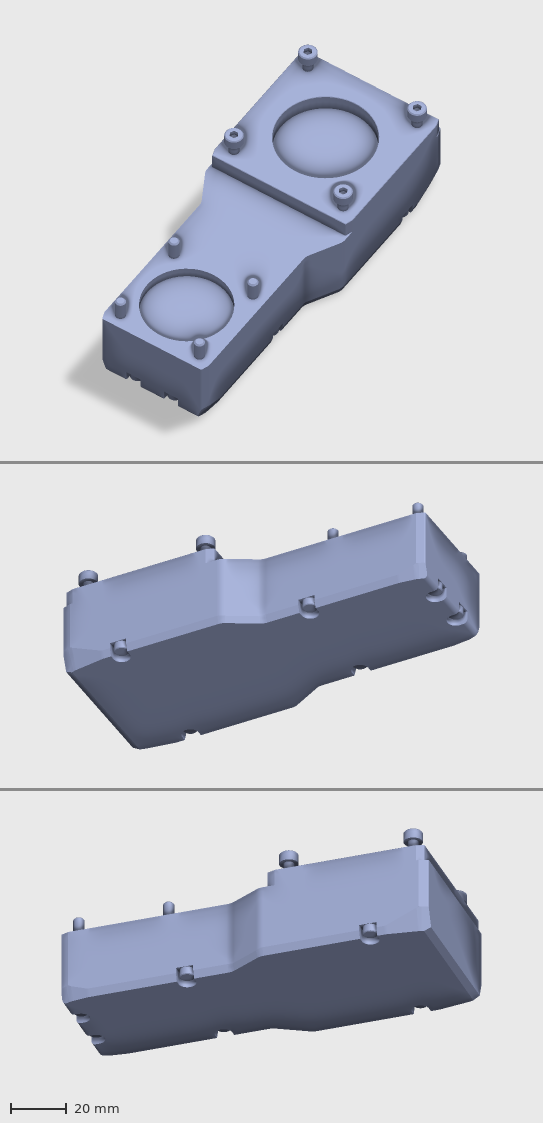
import cadquery as cq
import math

length = 142.0
wide_width = 59.5
wide_half = wide_width / 2
narrow_width = 45.0
narrow_half = narrow_width / 2
taper_front_y = 64.9
taper_back_y = 78.1
waist_radius = 5.0

seam_z = 23.6
body_top_z = 27.7
plate_top_z = 34.1
pin_top_z = 35.5
screw_top_z = 43.0

bevel_inset = 1.1
front_bevel_length = 3.1
back_bevel_length = 3.4
bevel_round = 0.7

draft_rise = 3.0
draft_inset = 1.0
draft_angle = math.degrees(math.atan2(draft_inset, draft_rise))
front_skirt_z = 5.4
front_skirt_start_y = 10.5
back_skirt_z = 8.4
back_skirt_start_y = 125.8
skirt_corner_shift = 0.5
skirt_radius = 7.1
skirt_clearance = 0.7
skirt_height = back_skirt_z + skirt_clearance
skirt_overrun = 2.8
front_edge_radius = 1.7
back_edge_rise = 1.3
back_edge_run = 2.5

plate_half = wide_half
plate_center_y = 110.8
large_recess_diameter = 38.0
screw_offset = 23.6
plate_bevel_inset = 1.0
plate_bevel_length = 3.0
plate_edge_chamfer = 0.2

small_center_y = 22.3
small_recess_diameter = 34.1
pin_offset = small_recess_diameter / 2
pin_diameter = 4.0
pin_chamfer = 0.5

screw_shank_diameter = 4.0
screw_head_diameter = 7.0
screw_head_height = 4.0
screw_head_chamfer = 0.4
socket_width = 3.0
socket_corner_diameter = socket_width / math.cos(math.pi / 6)
socket_depth = 2.0
socket_tip_depth = 0.7

pocket_width = 6.5
pocket_height = 5.1
pocket_center_inset = 3.0
stud_diameter = 5.5
stud_chamfer = 0.3
stud_bottom_z = 2.1
front_pocket_x = 8.1
narrow_pocket_y = 47.3
wide_pocket_y = 119.3


def mirrored_polygon(right_points, z):
    """Closed outline from its right half, listed front to back."""
    left_points = [(-x, y) for x, y in reversed(right_points)]
    return cq.Workplane("XY").workplane(offset=z).polyline(right_points + left_points).close()


def square_pattern(center_y, offset):
    return [(sx * offset, center_y + sy * offset) for sx in (-1, 1) for sy in (-1, 1)]


def cylinder(x, y, z_bottom, z_top, diameter):
    return cq.Workplane("XY", origin=(x, y, z_bottom)).circle(diameter / 2).extrude(z_top - z_bottom)


def round_upright_edges(prism, rounds):
    """Round the vertical edges of a prism; each round is a Y position and a radius."""
    margin = 0.01
    for y, radius in rounds:
        strip = cq.selectors.BoxSelector((-length, y - margin, -length), (length, y + margin, length))
        prism = prism.edges("|Z").edges(strip).fillet(radius)
    return prism


def make_block():
    outline = [
        (narrow_half - bevel_inset, 0),
        (narrow_half, front_bevel_length),
        (narrow_half, taper_front_y),
        (wide_half, taper_back_y),
        (wide_half, length - back_bevel_length),
        (wide_half - bevel_inset, length),
    ]
    block = mirrored_polygon(outline, 0).extrude(body_top_z)
    rounds = [
        (0, bevel_round),
        (taper_front_y, waist_radius),
        (taper_back_y, waist_radius),
        (length, bevel_round),
    ]
    return round_upright_edges(block, rounds)


def make_skirt_envelope():
    """Inward-drafted envelope that bevels the bottom of the sides, more at the corners."""
    slope = draft_inset / draft_rise
    narrow_x = narrow_half - draft_inset
    wide_x = wide_half - draft_inset
    front_corner_x = narrow_half - front_skirt_z * slope
    back_corner_x = wide_half - back_skirt_z * slope
    front_corner_y = front_bevel_length + skirt_corner_shift
    back_corner_y = length - back_bevel_length - skirt_corner_shift
    front_end_y = -skirt_overrun
    back_end_y = length + skirt_overrun
    front_end_x = front_corner_x - (front_corner_y - front_end_y) * bevel_inset / front_bevel_length
    back_end_x = back_corner_x - (back_end_y - back_corner_y) * bevel_inset / back_bevel_length
    outline = [
        (front_end_x, front_end_y),
        (front_corner_x, front_corner_y),
        (narrow_x, front_skirt_start_y),
        (narrow_x, taper_front_y),
        (wide_x, taper_back_y),
        (wide_x, back_skirt_start_y),
        (back_corner_x, back_corner_y),
        (back_end_x, back_end_y),
    ]
    bends = [
        (front_corner_y, skirt_radius),
        (front_skirt_start_y, skirt_radius),
        (taper_front_y, waist_radius),
        (taper_back_y, waist_radius),
        (back_skirt_start_y, skirt_radius),
        (back_corner_y, skirt_radius),
    ]
    footprint = round_upright_edges(mirrored_polygon(outline, 0).extrude(skirt_height), bends)
    drafted = footprint.faces("<Z").wires().toPending()
    drafted = drafted.extrude(skirt_height, taper=-draft_angle, combine=False)
    straight = cq.Workplane("XY", origin=(0, length / 2, skirt_height))
    return drafted.union(straight.box(wide_width, length, body_top_z, centered=(True, True, False)))


def make_end_envelope():
    """Lengthwise profile with the front bottom edge rounded and the back one bevelled."""
    profile = cq.Workplane("XY").box(wide_width, length, body_top_z, centered=(True, False, False))
    profile = profile.faces("<Y").edges("<Z").fillet(front_edge_radius)
    corner = cq.Workplane("YZ", origin=(-wide_half, length, 0))
    corner = corner.lineTo(-back_edge_run, 0).lineTo(0, back_edge_rise).close().extrude(wide_width)
    return profile.cut(corner)


def make_plate():
    front_y = plate_center_y - plate_half
    back_y = plate_center_y + plate_half
    outline = [
        (plate_half - plate_bevel_inset, front_y),
        (plate_half, front_y + plate_bevel_length),
        (plate_half, back_y - plate_bevel_length),
        (plate_half - plate_bevel_inset, back_y),
    ]
    plate = mirrored_polygon(outline, body_top_z).extrude(plate_top_z - body_top_z)
    plate = plate.cut(cylinder(0, plate_center_y, body_top_z, plate_top_z, large_recess_diameter))
    return plate.faces(">Z").chamfer(plate_edge_chamfer)


def make_pin(x, y):
    return cylinder(x, y, seam_z, pin_top_z, pin_diameter).faces(">Z").chamfer(pin_chamfer)


def make_screw(x, y):
    head_bottom_z = screw_top_z - screw_head_height
    socket_floor_z = screw_top_z - socket_depth
    head = cylinder(x, y, head_bottom_z, screw_top_z, screw_head_diameter)
    head = head.faces(">Z").chamfer(screw_head_chamfer)
    socket = (
        cq.Workplane("XY", origin=(x, y, socket_floor_z))
        .polygon(6, socket_corner_diameter)
        .extrude(socket_depth)
    )
    tip = cq.Workplane(
        cq.Solid.makeCone(
            0, socket_width / 2, socket_tip_depth,
            pnt=cq.Vector(x, y, socket_floor_z - socket_tip_depth), dir=cq.Vector(0, 0, 1),
        )
    )
    shank = cylinder(x, y, body_top_z, head_bottom_z, screw_shank_diameter)
    return head.cut(socket).cut(tip).union(shank)


def make_pocket(x, y, outward_angle):
    """Round-ended slot running from the stud axis out through the wall."""
    reach = 2 * pocket_center_inset
    channel = cq.Workplane("XY").box(reach, pocket_width, pocket_height, centered=(False, True, False))
    channel = channel.rotate((0, 0, 0), (0, 0, 1), outward_angle).translate((x, y, 0))
    return channel.union(cylinder(x, y, 0, pocket_height, pocket_width))


def make_stud(x, y):
    stud = cylinder(x, y, stud_bottom_z, pocket_height, stud_diameter)
    return stud.faces("<Z").chamfer(stud_chamfer)


body = make_block().intersect(make_skirt_envelope()).intersect(make_end_envelope())
body = body.union(make_plate())
body = body.cut(cylinder(0, small_center_y, seam_z, body_top_z, small_recess_diameter))

pockets = []
for side, angle in ((-1, 180), (1, 0)):
    pockets.append((side * front_pocket_x, pocket_center_inset, -90))
    pockets.append((side * (narrow_half - pocket_center_inset), narrow_pocket_y, angle))
    pockets.append((side * (wide_half - pocket_center_inset), wide_pocket_y, angle))
for x, y, angle in pockets:
    body = body.cut(make_pocket(x, y, angle)).union(make_stud(x, y))

for x, y in square_pattern(small_center_y, pin_offset):
    body = body.union(make_pin(x, y))
for x, y in square_pattern(plate_center_y, screw_offset):
    body = body.union(make_screw(x, y))

result = body